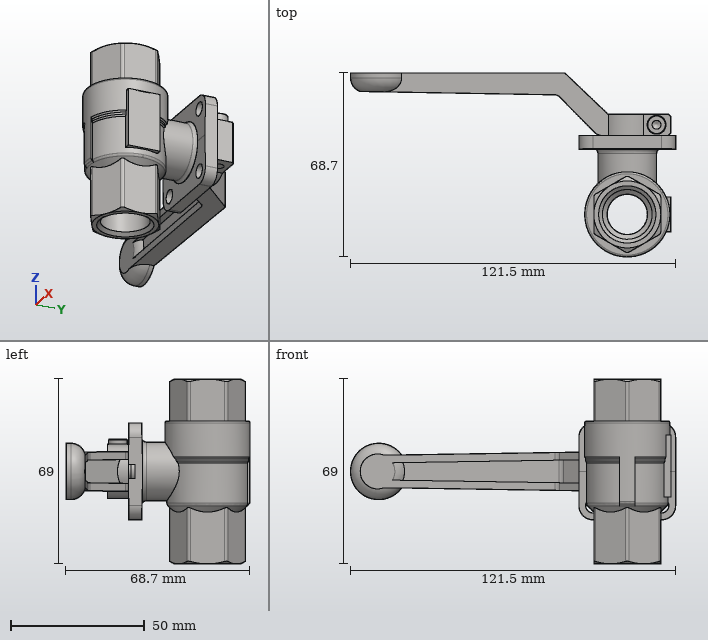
import cadquery as cq
import math


overall_length = 121.5

valve_half_length = 34.5
hex_across_flats = 25.0
hex_corner_radius = 1.5
hex_chamfer_angle = 30.0
collar_radius = 15.9
barrel_radius = 15.24
collar_top = 18.8
collar_top_fillet = 0.7
collar_bottom = 5.5
step_top = 4.7
step_bottom = 3.9
barrel_top = 3.2
step_radius = 15.5
shoulder_bottom = -15.2
shoulder_fillet = 1.5

thread_radius = 18.6 / 2
bore_radius = 15.0 / 2
mouth_radius = 10.7
thread_depth = 14.6

rib_width = 5.8
pad_width = 13.1
pad_face = 16.3
pad_bottom = -9.6
pad_top = 13.6

flange_half_width = 18.1
flange_front = 24.3
flange_back = 29.5
flange_draft = 0.2
flange_corner_radius = 5.3
flange_hole_diameter = 5.5
flange_hole_offset = 12.8
notch_width = 5.3
notch_depth = 2.4
stem_radius = 8.0 / 2
stem_tip_radius = 5.5 / 2
stem_shoulder = 28.5
neck_radius = 22.0 / 2
neck_flare_radius = 11.8
neck_flare_length = 1.6

lever_top = 52.8
lever_bend_x = -23.3
hub_radius = 10.2
hub_top = 37.4
arm_meets_hub_x = -7.2
arm_foot = (-11.2, flange_back)
arm_under_end_y = 45.9
arm_under_bend = (-26.0, 44.6)
arm_bend_radius = 2.4
arm_foot_radius = 3.6
arm_half_width_at_knob = 6.1
arm_half_width_at_hub = 7.5
side_rib_thickness = 2.9
channel_floor = 48.0
channel_bend_x = -24.5

knob_radius = 10.6
knob_rim = 1.8
knob_edge_radius = 5.5
knob_x = flange_half_width - overall_length + knob_radius
knob_end_x = knob_x - knob_radius

clamp_end = 16.3
clamp_half_height = 8.3
clamp_corner_chamfer = 0.9
screw_x = 10.9
screw_y = (flange_back + hub_top) / 2
screw_head_radius = 7.0 / 2
screw_head_top = 12.0
screw_head_chamfer = 0.2
screw_shank_radius = 4.0 / 2
socket_diameter = 3.3
socket_depth = 1.8
socket_point_angle = 118.0


def disc_along_y(radius, y_start, y_end):
    """A cylinder around the Y axis."""
    return cq.Workplane("XZ", origin=(0, y_start, 0)).circle(radius).extrude(y_start - y_end)


def box_between(x_range, y_range, z_range):
    """A box from its limits along each axis."""
    size = [high - low for low, high in (x_range, y_range, z_range)]
    corner = (x_range[0], y_range[0], z_range[0])
    return cq.Workplane("XY").box(*size, centered=False).translate(corner)


def hex_bar():
    """The hexagon over the whole length, with flats at +X and -X and both ends chamfered."""
    flat = hex_across_flats / 2
    corner = flat / math.cos(math.radians(30))
    drop = (corner - flat) * math.tan(math.radians(hex_chamfer_angle))
    bar = (
        cq.Workplane("XY", origin=(0, 0, -valve_half_length))
        .polygon(6, 2 * corner)
        .extrude(2 * valve_half_length)
        .rotate((0, 0, 0), (0, 0, 1), 30)
        .edges("|Z")
        .fillet(hex_corner_radius)
    )
    envelope = (
        cq.Workplane("XZ")
        .moveTo(0, -valve_half_length)
        .lineTo(flat, -valve_half_length)
        .lineTo(corner, drop - valve_half_length)
        .lineTo(corner, valve_half_length - drop)
        .lineTo(flat, valve_half_length)
        .lineTo(0, valve_half_length)
        .close()
        .revolve(360, (0, 0), (0, 1))
    )
    return bar.intersect(envelope)


def drum(radius, top):
    """A cylinder that narrows at its lower end in a 45 degree cone, down to the hexagon's flats."""
    cone_end_radius = hex_across_flats / 2
    cone_top = shoulder_bottom + radius - cone_end_radius
    outline = [
        (0, top),
        (radius, top),
        (radius, cone_top),
        (cone_end_radius, shoulder_bottom),
        (0, shoulder_bottom),
    ]
    solid = cq.Workplane("XZ").polyline(outline).close().revolve(360, (0, 0), (0, 1))
    shoulder = cq.selectors.NearestToPointSelector((0, 0, cone_top))
    return solid.edges("%CIRCLE").edges(shoulder).fillet(shoulder_fillet)


def collar():
    """The collar with a rounded upper edge and a step down to the barrel."""
    outline = [
        (0, collar_top),
        (collar_radius, collar_top),
        (collar_radius, collar_bottom),
        (step_radius, step_top),
        (step_radius, step_bottom),
        (barrel_radius, barrel_top),
        (0, barrel_top),
    ]
    solid = cq.Workplane("XZ").polyline(outline).close().revolve(360, (0, 0), (0, 1))
    return solid.faces(">Z").edges().fillet(collar_top_fillet)


def front_rib():
    """A rib of collar radius down the -Y side of the barrel."""
    half = rib_width / 2
    limits = box_between((-half, half), (-collar_radius, 0), (shoulder_bottom, collar_bottom))
    return drum(collar_radius, collar_bottom).intersect(limits)


def side_pad():
    """A flat rectangular pad on the +X side."""
    half = pad_width / 2
    return box_between((0, pad_face), (-half, half), (pad_bottom, pad_top))


def neck():
    """The round neck between barrel and flange, flared by a concave arc where it meets the flange."""
    root_y = flange_front + flange_draft
    return (
        cq.Workplane("XY")
        .lineTo(neck_radius, 0)
        .lineTo(neck_radius, flange_front - neck_flare_length)
        .tangentArcPoint((neck_flare_radius, flange_front), relative=False)
        .lineTo(neck_flare_radius, root_y)
        .lineTo(0, root_y)
        .close()
        .revolve(360, (0, 0), (0, 1))
    )


def stem():
    """The stepped stem end, flush with the back of the flange."""
    tip = disc_along_y(stem_tip_radius, flange_front, flange_back)
    return disc_along_y(stem_radius, flange_front, stem_shoulder).union(tip)


def flange():
    """The square mounting flange with four holes and a notch from its -X edge to the stem.

    Its -Y face is drafted away from a ridge along X.
    """
    spacing = 2 * flange_hole_offset
    section = [
        (flange_front, 0),
        (flange_front + flange_draft, flange_half_width),
        (flange_back, flange_half_width),
        (flange_back, -flange_half_width),
        (flange_front + flange_draft, -flange_half_width),
    ]
    plate = (
        cq.Workplane("YZ", origin=(-flange_half_width, 0, 0))
        .polyline(section)
        .close()
        .extrude(2 * flange_half_width)
        .edges("|Y")
        .fillet(flange_corner_radius)
    )
    holes = (
        cq.Workplane("XZ", origin=(0, flange_front, 0))
        .rect(spacing, spacing, forConstruction=True)
        .vertices()
        .circle(flange_hole_diameter / 2)
        .extrude(flange_front - flange_back)
    )
    half = notch_width / 2
    notch = box_between(
        (-flange_half_width, 0), (flange_back - notch_depth, flange_back), (-half, half)
    )
    return plate.cut(holes).cut(notch).union(stem())


def bore():
    """The through bore with a wider threaded part and a chamfered mouth at each end."""
    mouth_bottom = valve_half_length - (mouth_radius - thread_radius)
    thread_end = valve_half_length - thread_depth
    cone_end = thread_end - (thread_radius - bore_radius)
    upper = [
        (bore_radius, cone_end),
        (thread_radius, thread_end),
        (thread_radius, mouth_bottom),
        (mouth_radius, valve_half_length),
    ]
    lower = [(radius, -z) for radius, z in reversed(upper)]
    outline = [(0, -valve_half_length), *lower, *upper, (0, valve_half_length)]
    return cq.Workplane("XZ").polyline(outline).close().revolve(360, (0, 0), (0, 1))


def make_housing():
    barrel = drum(barrel_radius, barrel_top).union(collar()).union(front_rib()).union(side_pad())
    return hex_bar().union(barrel).union(neck()).union(flange()).cut(bore())


def tapered_plan(narrowing):
    """The arm's width along X as a tall prism, each side moved in by the given amount."""
    at_knob = arm_half_width_at_knob - narrowing
    at_hub = arm_half_width_at_hub - narrowing
    outline = [(knob_x, -at_knob), (0, -at_hub), (0, at_hub), (knob_x, at_knob)]
    return cq.Workplane("XZ").polyline(outline).close().extrude(-lever_top)


def side_profile(outline):
    """An XY outline extruded over the knob's height."""
    return cq.Workplane("XY", origin=(0, 0, -knob_radius)).polyline(outline).close().extrude(2 * knob_radius)


def round_corner(prism, corner, radius):
    """Fillets the Z edge of a prism at an XY corner."""
    edge = cq.selectors.NearestToPointSelector((*corner, 0))
    return prism.edges("|Z").edges(edge).fillet(radius)


def arm():
    """The cranked, tapered arm with a channel along its underside."""
    outline = [
        (knob_end_x, lever_top),
        (lever_bend_x, lever_top),
        (arm_meets_hub_x, hub_top),
        (0, hub_top),
        (0, flange_back),
        arm_foot,
        arm_under_bend,
        (knob_end_x, arm_under_end_y),
    ]
    solid = round_corner(side_profile(outline), arm_under_bend, arm_bend_radius)
    solid = round_corner(solid, arm_foot, arm_foot_radius).intersect(tapered_plan(0))
    channel_end_x = channel_bend_x + channel_floor - flange_back
    channel_bend = (channel_bend_x, channel_floor)
    channel_outline = [
        (knob_x, channel_floor),
        channel_bend,
        (channel_end_x, flange_back),
        (knob_x, flange_back),
    ]
    channel = round_corner(side_profile(channel_outline), channel_bend, arm_bend_radius)
    channel = channel.intersect(tapered_plan(side_rib_thickness))
    return solid.cut(channel)


def knob():
    """The round knob: a straight rim and a rounded edge, cut off in the plane of the arm's underside."""
    rim_bottom = lever_top - knob_rim
    lowest = rim_bottom - knob_edge_radius
    button = (
        cq.Workplane("XY")
        .moveTo(0, lever_top)
        .lineTo(knob_radius, lever_top)
        .lineTo(knob_radius, rim_bottom)
        .tangentArcPoint((knob_radius - knob_edge_radius, lowest), relative=False)
        .lineTo(0, lowest)
        .close()
        .revolve(360, (0, 0), (0, 1))
        .translate((knob_x, 0, 0))
    )
    above_underside = [
        (knob_end_x, lever_top),
        (lever_bend_x, lever_top),
        arm_under_bend,
        (knob_end_x, arm_under_end_y),
    ]
    return button.intersect(side_profile(above_underside))


def hub():
    """The round hub on the flange, with the clamp block on its +X side."""
    block = box_between(
        (0, clamp_end), (flange_back, hub_top), (-clamp_half_height, clamp_half_height)
    )
    block = block.edges("|Z and >X").chamfer(clamp_corner_chamfer)
    return disc_along_y(hub_radius, flange_back, hub_top).union(block)


def screw_cylinder(radius, z_start, z_end):
    """A cylinder on the clamp screw's axis."""
    return (
        cq.Workplane("XY", origin=(screw_x, screw_y, z_start)).circle(radius).extrude(z_end - z_start)
    )


def screw_envelope():
    """The screw without its socket: a shank through the clamp block and a round head."""
    head = screw_cylinder(screw_head_radius, clamp_half_height, screw_head_top)
    head = head.faces(">Z").chamfer(screw_head_chamfer)
    return screw_cylinder(screw_shank_radius, -clamp_half_height, clamp_half_height).union(head)


def make_screw():
    """The clamp screw, with a round socket that ends in a conical point."""
    radius = socket_diameter / 2
    point_depth = radius / math.tan(math.radians(socket_point_angle / 2))
    socket = (
        cq.Workplane("XZ")
        .lineTo(radius, 0)
        .lineTo(radius, -socket_depth)
        .lineTo(0, -socket_depth - point_depth)
        .close()
        .revolve(360, (0, 0), (0, 1))
        .translate((screw_x, screw_y, screw_head_top))
    )
    return screw_envelope().cut(socket)


def make_lever():
    return arm().union(knob()).union(hub()).cut(screw_envelope())


housing = make_housing()
lever = make_lever()
screw = make_screw()

result = cq.Compound.makeCompound([housing.val(), lever.val(), screw.val()])